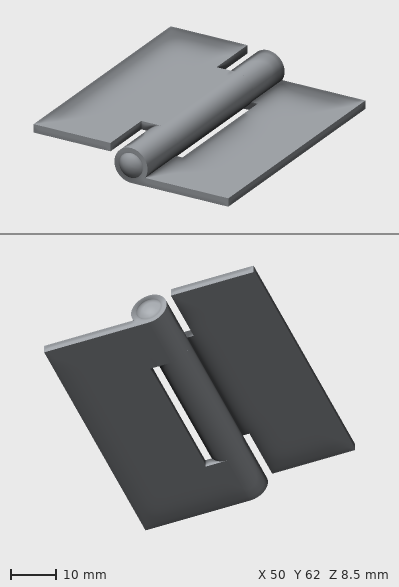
import cadquery as cq

hinge_width = 50.0
leaf_length = 60.0
pin_length = 62.0

sheet_thickness = 2.05
knuckle_diameter = 8.5
pin_diameter = 6.0
middle_knuckle_length = 33.0
notch_reach = 5.3

knuckle_radius = knuckle_diameter / 2
pin_radius = pin_diameter / 2
leaf_reach = hinge_width / 2
dome_height = (pin_length - leaf_length) / 2
end_knuckle_length = (leaf_length - middle_knuckle_length) / 2
end_knuckle_center = (middle_knuckle_length + end_knuckle_length) / 2


def box_between(x_start, x_end, y_center, y_length, z_bottom):
    """Flat piece of sheet between two X positions."""
    return (
        cq.Workplane("XY", origin=((x_start + x_end) / 2, y_center, z_bottom))
        .rect(x_end - x_start, y_length)
        .extrude(sheet_thickness)
    )


def rod(radius, length, y_center=0.0):
    """Cylinder on the pin axis."""
    return (
        cq.Workplane("XZ", origin=(0, y_center, 0))
        .circle(radius)
        .extrude(length / 2, both=True)
    )


def make_upper_leaf():
    """Leaf on the -X side, tangent to the top of its single middle knuckle."""
    z_bottom = knuckle_radius - sheet_thickness
    plate = box_between(-leaf_reach, -notch_reach, 0, leaf_length, z_bottom)
    tab = box_between(-notch_reach, 0, 0, middle_knuckle_length, z_bottom)
    knuckle = rod(knuckle_radius, middle_knuckle_length)
    return plate.union(tab).union(knuckle).cut(rod(pin_radius, leaf_length))


def make_lower_leaf():
    """Leaf on the +X side, tangent to the bottom of its two end knuckles."""
    z_bottom = -knuckle_radius
    leaf = box_between(notch_reach, leaf_reach, 0, leaf_length, z_bottom)
    for y_center in (-end_knuckle_center, end_knuckle_center):
        tab = box_between(0, notch_reach, y_center, end_knuckle_length, z_bottom)
        knuckle = rod(knuckle_radius, end_knuckle_length, y_center)
        leaf = leaf.union(tab).union(knuckle)
    return leaf.cut(rod(pin_radius, leaf_length))


def make_pin():
    """Pin with a spherical dome at each end, revolved about the Y axis."""
    tip = pin_length / 2
    shoulder = tip - dome_height
    dome_radius = (pin_radius**2 + dome_height**2) / (2 * dome_height)
    arc_x = pin_radius / 2
    arc_y = tip - dome_radius + (dome_radius**2 - arc_x**2) ** 0.5
    return (
        cq.Workplane("XY")
        .moveTo(0, -tip)
        .threePointArc((arc_x, -arc_y), (pin_radius, -shoulder))
        .lineTo(pin_radius, shoulder)
        .threePointArc((arc_x, arc_y), (0, tip))
        .close()
        .revolve(360, (0, 0, 0), (0, 1, 0))
    )


upper_leaf = make_upper_leaf()
lower_leaf = make_lower_leaf()
pin = make_pin()

result = cq.Compound.makeCompound([upper_leaf.val(), lower_leaf.val(), pin.val()])